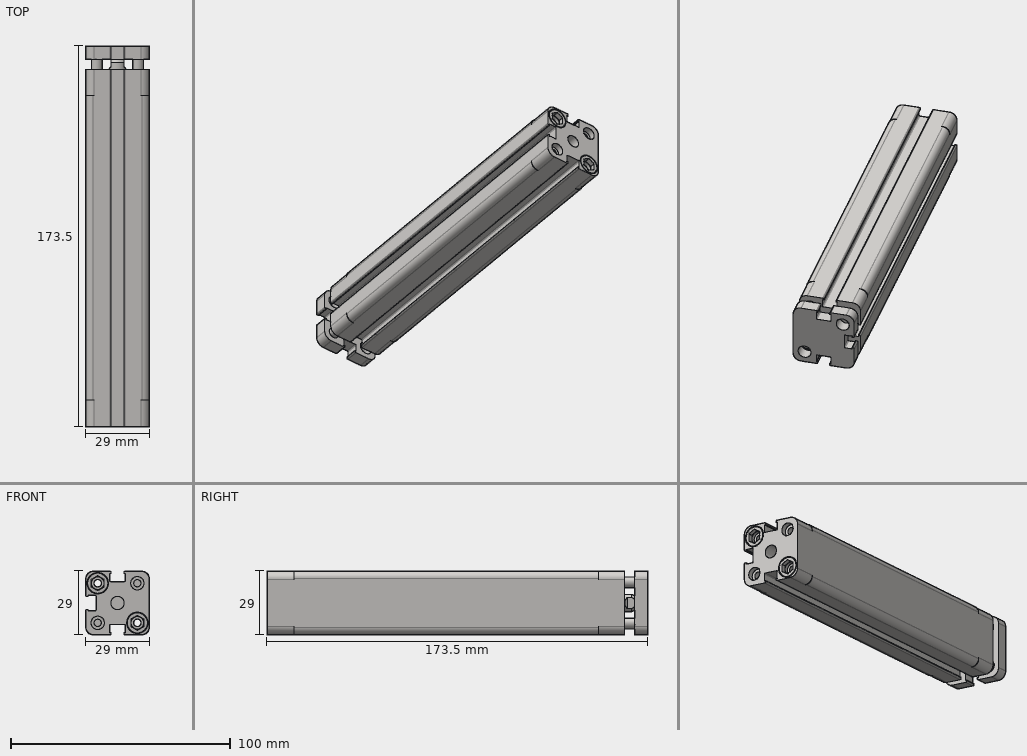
import cadquery as cq
import math

total_length = 173.5
plate_thickness = 6.0
gap_length = 4.5
front_cap_length = 12.3
rear_cap_length = 12.0
plate_start = total_length - plate_thickness
rear_end = plate_start - gap_length

side = 29.0
half = side / 2
cap_corner_radius = 3.8
tube_corner_radius = 3.3
slot_mouth_width = 5.7
slot_width = 7.0
slot_depth = 4.7
slot_floor_radius = 0.3
lip_thickness = 1.0
lip_rounding = 0.5
slot_angles = (0, 90, 180)

corner_offset = 9.0
screw_corners = [(-corner_offset, corner_offset), (corner_offset, -corner_offset)]
port_corners = [(corner_offset, corner_offset), (-corner_offset, -corner_offset)]
pin_offset = 9.4
pin_diameter = 5.0
port_diameter = 6.0
centre_port_depth = 8.7
port_depth = 3.0
pilot_diameter = 3.3
pilot_end = front_cap_length
bore_diameter = 3.3
plate_hole_diameter = 6.0

head_recess_diameter = 9.7
head_diameter = 9.2
head_recess_depth = 0.9
socket_flats = 5.9
socket_depth = 2.5
socket_floor_hole_diameter = 5.7
socket_floor_hole_depth = 4.3

rod_diameter = 8.0
rod_flats = 6.0
rod_tip_diameter = 7.0
rod_chamfer_length = 1.4
flat_run_out = 1.2


def cylinder(diameter, start, end, x=0.0, z=0.0):
    """A round bar along Y, from start to end."""
    base = cq.Solid.makeCylinder(diameter / 2, end - start, cq.Vector(x, start, z), cq.Vector(0, 1, 0))
    return cq.Workplane(obj=base)


def section_block(start, end, corner_radius):
    """A square length of the section with rounded corners."""
    block = cq.Workplane("XY").box(side, end - start, side)
    return block.edges("|Y").fillet(corner_radius).translate((0, (start + end) / 2, 0))


def slot_cutter():
    """The slot of the top side, narrowed at its mouth by two rounded lips, along the whole part."""
    mouth = slot_mouth_width / 2
    wide = slot_width / 2
    under_lip = half - lip_thickness
    floor = half - slot_depth
    outline = cq.Workplane("XZ").moveTo(mouth + lip_rounding, half)
    outline = outline.radiusArc((mouth, half - lip_rounding), -lip_rounding)
    outline = outline.lineTo(mouth, under_lip).lineTo(wide, under_lip).lineTo(wide, floor)
    outline = outline.lineTo(-wide, floor).lineTo(-wide, under_lip).lineTo(-mouth, under_lip)
    outline = outline.lineTo(-mouth, half - lip_rounding)
    outline = outline.radiusArc((-mouth - lip_rounding, half), -lip_rounding)
    cutter = outline.close().extrude(-total_length)
    return cutter.edges("|Y and <Z").fillet(slot_floor_radius)


def piston_rod():
    """The exposed rod: chamfered at the plate, with two flats that slope out to full width at the cap."""
    rod = cylinder(rod_diameter, rear_end, plate_start).faces(">Y")
    rod = rod.chamfer(rod_chamfer_length, (rod_diameter - rod_tip_diameter) / 2)
    flat = rod_flats / 2
    radius = rod_diameter / 2
    flanks = [
        (-radius, rear_end), (radius, rear_end), (flat, rear_end + flat_run_out), (flat, plate_start),
        (-flat, plate_start), (-flat, rear_end + flat_run_out),
    ]
    across = cq.Workplane("XY").polyline(flanks).close().extrude(radius, both=True)
    return rod.intersect(across)


def hexagonal_socket(x, z):
    """A hexagonal socket in the front face, with two corners above each other."""
    across_corners = socket_flats / math.cos(math.radians(30))
    socket = cq.Workplane("XZ").polygon(6, across_corners).extrude(-socket_depth)
    return socket.rotate((0, 0, 0), (0, 1, 0), 90).translate((x, 0, z))


body = section_block(0, front_cap_length, cap_corner_radius)
body = body.union(section_block(front_cap_length, rear_end - rear_cap_length, tube_corner_radius))
body = body.union(section_block(rear_end - rear_cap_length, rear_end, cap_corner_radius))
body = body.union(section_block(plate_start, total_length, cap_corner_radius))

for angle in slot_angles:
    body = body.cut(slot_cutter().rotate((0, 0, 0), (0, 1, 0), -angle))

body = body.union(piston_rod())
for offset in (-pin_offset, pin_offset):
    body = body.union(cylinder(pin_diameter, rear_end, plate_start, offset, offset))

body = body.cut(cylinder(port_diameter, 0, centre_port_depth))
for x, z in port_corners:
    body = body.cut(cylinder(port_diameter, 0, port_depth, x, z))
    body = body.cut(cylinder(pilot_diameter, port_depth, pilot_end, x, z))

for x, z in screw_corners:
    ring = cylinder(head_recess_diameter, 0, head_recess_depth, x, z)
    ring = ring.cut(cylinder(head_diameter, 0, head_recess_depth, x, z))
    body = body.cut(ring).cut(hexagonal_socket(x, z))
    body = body.cut(cylinder(socket_floor_hole_diameter, 0, socket_floor_hole_depth, x, z))
    body = body.cut(cylinder(bore_diameter, 0, rear_end, x, z))
    body = body.cut(cylinder(plate_hole_diameter, plate_start, total_length, x, z))

result = body